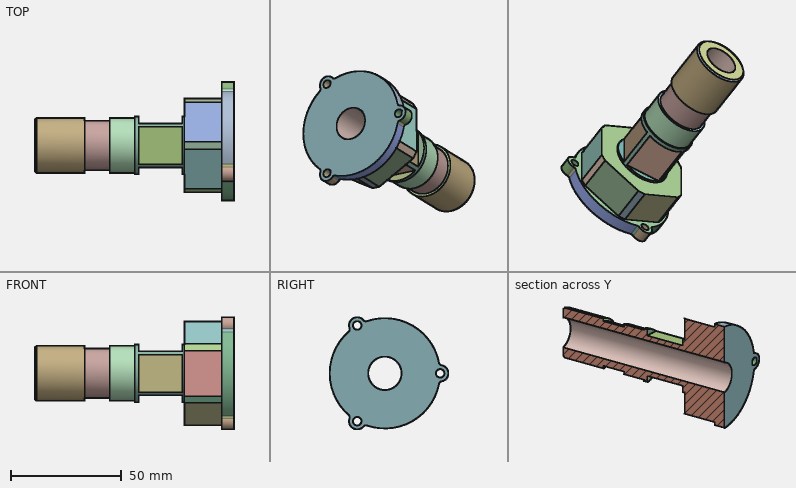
import cadquery as cq
import math

groove_start = 22.5
groove_end = 33.75
collar_start = 45.0
square_start = 47.0
square_end = 66.5
nut_start = 67.5
flange_start = 84.375
total_length = 90.0

spigot_diameter = 25.0
groove_diameter = 22.5
collar_diameter = 26.25
bore_diameter = 15.0
end_chamfer = 0.75
square_across_flats = 20.0

hex_sides = 6
hex_across_flats = 42.5
hex_corner_chamfer = 2.0

flange_diameter = 50.0
lug_count = 3
lug_pitch_radius = flange_diameter / 2
lug_radius = 3.75
lug_hole_diameter = 3.75
lug_root_fillet = 1.25


def section_plane(x):
    """YZ sketch plane at station x: local x is +Y, local y is +Z, normal is +X."""
    return cq.Workplane("YZ", origin=(x, 0, 0))


def cylinder(diameter, start, end):
    return section_plane(start).circle(diameter / 2).extrude(end - start)


def make_spigot():
    front = cylinder(spigot_diameter, 0, groove_start).faces("<X").chamfer(end_chamfer)
    groove = cylinder(groove_diameter, groove_start, groove_end)
    rear = cylinder(spigot_diameter, groove_end, collar_start)
    return front.union(groove).union(rear)


def make_wrench_neck():
    """Collar-diameter bar with four flats milled between its two end collars."""
    length = square_end - square_start
    bar = cylinder(collar_diameter, collar_start, nut_start)
    ring = cylinder(collar_diameter, square_start, square_end)
    square = section_plane(square_start).rect(square_across_flats, square_across_flats).extrude(length)
    return bar.cut(ring.cut(square))


def make_nut():
    """Hexagon with flats facing +Y and -Y and its corners chamfered."""
    across_corners = hex_across_flats / math.cos(math.pi / hex_sides)
    hexagon = section_plane(nut_start).transformed(rotate=(0, 0, 90)).polygon(hex_sides, across_corners)
    return hexagon.extrude(flange_start - nut_start).edges("|X").chamfer(hex_corner_chamfer)


def make_flange():
    """Disc with three drilled lugs, the first on +Y, filleted where they meet the rim."""
    thickness = total_length - flange_start
    flange = cylinder(flange_diameter, flange_start, total_length)
    lugs = section_plane(flange_start).polarArray(lug_pitch_radius, 0, 360, lug_count)
    flange = flange.union(lugs.circle(lug_radius).extrude(thickness))

    crossing_angle = 2 * math.asin(lug_radius / 2 / lug_pitch_radius)
    middle_x = flange_start + thickness / 2
    for index in range(lug_count):
        lug_angle = 2 * math.pi * index / lug_count
        for side in (-1, 1):
            angle = lug_angle + side * crossing_angle
            y = lug_pitch_radius * math.cos(angle)
            z = lug_pitch_radius * math.sin(angle)
            root = cq.selectors.NearestToPointSelector((middle_x, y, z))
            flange = flange.edges("|X").edges(root).fillet(lug_root_fillet)

    holes = section_plane(flange_start).polarArray(lug_pitch_radius, 0, 360, lug_count)
    return flange.cut(holes.circle(lug_hole_diameter / 2).extrude(thickness))


body = make_spigot().union(make_wrench_neck()).union(make_nut()).union(make_flange())
result = body.cut(cylinder(bore_diameter, 0, total_length))